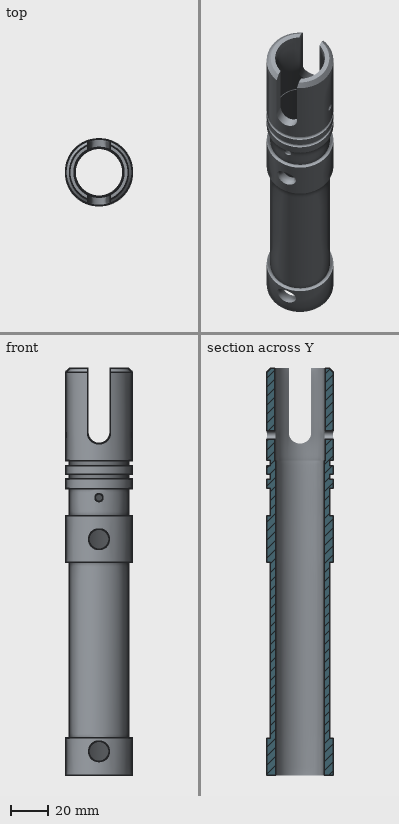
import cadquery as cq

length = 220.0
collar_diameter = 36.0
neck_diameter = 32.3
bore_diameter = 26.0
fork_bore_diameter = 26.8
rim_chamfer = 2.2

shank_band = (20.2, 115.0)
neck_band = (140.4, 154.9)
lower_groove_band = (160.2, 162.5)
upper_groove_band = (167.5, 170.0)

slot_width = 12.0
slot_depth = 40.7

large_hole_diameter = 11.0
large_hole_heights = (13.0, 127.5)
small_hole_diameter = 4.2
vent_hole_height = 150.0
cross_hole_height = 184.0


def cylinder(diameter, bottom, top):
    """Solid cylinder on the Z axis between two heights."""
    return cq.Workplane("XY").workplane(offset=bottom).circle(diameter / 2).extrude(top - bottom)


def reduced_band(bottom, top):
    """Ring of material that turns a band down to the neck diameter."""
    return cylinder(collar_diameter, bottom, top).cut(cylinder(neck_diameter, bottom, top))


def front_hole(diameter, height):
    """Cutter from the axis outward through the -Y wall."""
    return cq.Workplane("XZ").center(0, height).circle(diameter / 2).extrude(collar_diameter)


def fork_slot():
    """Round-bottomed cutter through both the front and back walls."""
    radius = slot_width / 2
    round_center = length - slot_depth + radius
    return (
        cq.Workplane("XZ")
        .moveTo(-radius, length)
        .lineTo(-radius, round_center)
        .threePointArc((0, length - slot_depth), (radius, round_center))
        .lineTo(radius, length)
        .close()
        .extrude(collar_diameter, both=True)
    )


def cross_hole():
    """Small cutter through both side walls along X."""
    return (
        cq.Workplane("YZ")
        .center(0, cross_hole_height)
        .circle(small_hole_diameter / 2)
        .extrude(collar_diameter, both=True)
    )


result = cylinder(collar_diameter, 0, length).faces(">Z").chamfer(rim_chamfer)
for band in (shank_band, neck_band, lower_groove_band, upper_groove_band):
    result = result.cut(reduced_band(*band))

result = result.cut(cylinder(bore_diameter, 0, length))
fork_bottom = upper_groove_band[1]
result = result.cut(cylinder(fork_bore_diameter, fork_bottom, length))

result = result.cut(fork_slot())
result = result.cut(cross_hole())
result = result.cut(front_hole(small_hole_diameter, vent_hole_height))
for hole_height in large_hole_heights:
    result = result.cut(front_hole(large_hole_diameter, hole_height))